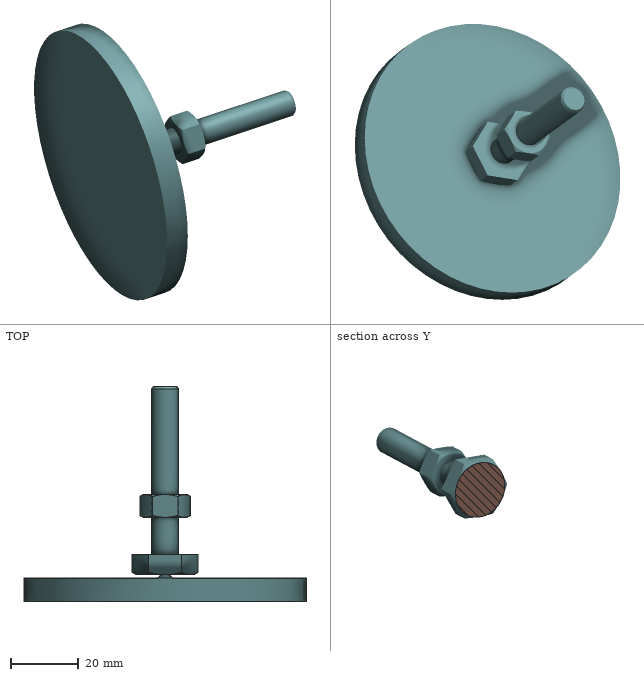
import cadquery as cq
import math


plate_diameter = 84.0
plate_thickness = 7.0

total_length = 64.0
rod_diameter = 8.0
tip_chamfer_length = 0.75
tip_chamfer_depth = 0.6
neck_length = 1.0
neck_plate_diameter = 4.4
neck_head_diameter = 2.35
head_across_flats = 17.0
head_height = 6.05

nut_across_flats = 13.0
nut_height = 6.8
nut_gap = 11.0

corner_angle = math.radians(30)

head_start = plate_thickness + neck_length
head_end = head_start + head_height
nut_start = head_end + nut_gap


def revolve_profile(points):
    """Revolve a closed (radius, Y) outline about the Y axis."""
    return cq.Workplane("XY").polyline(points).close().revolve(360, (0, 0), (0, 1))


def make_hexagon(across_flats, height, start, chamfer_far_end=False):
    """Hexagonal prism along +Y with corners on X, chamfered at the near and optionally the far end."""
    flat_radius = across_flats / 2
    corner_radius = flat_radius / math.cos(math.pi / 6)
    corner_drop = (corner_radius - flat_radius) * math.tan(corner_angle)
    end = start + height
    prism = (
        cq.Workplane("XZ", origin=(0, start, 0))
        .polygon(6, 2 * corner_radius)
        .extrude(-height)
    )
    outline = [(0, start), (flat_radius, start), (corner_radius, start + corner_drop)]
    if chamfer_far_end:
        outline += [(corner_radius, end - corner_drop), (flat_radius, end)]
    else:
        outline += [(corner_radius, end)]
    outline += [(0, end)]
    return prism.intersect(revolve_profile(outline))


def make_plate():
    return cq.Workplane("XZ").circle(plate_diameter / 2).extrude(-plate_thickness)


def make_stud():
    """Plain rod with a hexagonal head and a tapered neck standing on the plate."""
    rod_radius = rod_diameter / 2
    neck = revolve_profile([
        (0, plate_thickness),
        (neck_plate_diameter / 2, plate_thickness),
        (neck_head_diameter / 2, head_start),
        (0, head_start),
    ])
    head = make_hexagon(head_across_flats, head_height, head_start)
    rod = revolve_profile([
        (0, head_end),
        (rod_radius, head_end),
        (rod_radius, total_length - tip_chamfer_length),
        (rod_radius - tip_chamfer_depth, total_length),
        (0, total_length),
    ])
    return head.union(neck).union(rod)


def make_nut():
    """Hexagonal lock nut with a plain bore that fits the rod."""
    body = make_hexagon(nut_across_flats, nut_height, nut_start, chamfer_far_end=True)
    bore = (
        cq.Workplane("XZ", origin=(0, nut_start, 0))
        .circle(rod_diameter / 2)
        .extrude(-nut_height)
    )
    return body.cut(bore)


plate = make_plate()
stud = make_stud()
nut = make_nut()

result = cq.Compound.makeCompound([plate.val(), stud.val(), nut.val()])